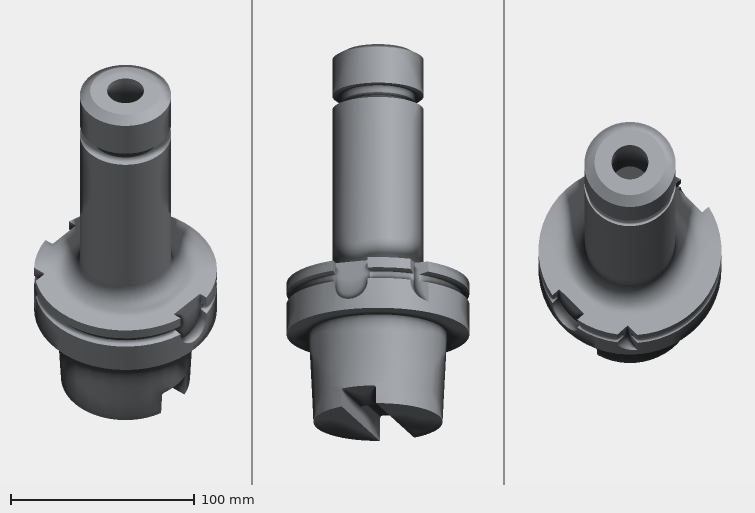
import cadquery as cq

total_height = 210.0
shank_height = 50.0
flange_top = 79.0
body_top = 178.0
nut_bottom = 186.3

shank_top_radius = 37.8
shank_bottom_radius = 35.3

flange_radius = 50.0
groove_floor_radius = 46.0
groove_middle = 70.1
groove_mouth_width = 6.0
groove_floor_width = 3.8

body_radius = 25.0
body_fillet = 10.0
neck_radius = 19.0
collar_radius = 20.2
collar_bottom = 182.3
collar_chamfer = collar_radius - neck_radius
nut_top_radius = 19.3
nut_chamfer_height = 3.4
bore_radius = 10.0
bore_depth = total_height - body_top

slot_bottom = 55.9
slot_floor_distance = 43.9
left_slot_width = 19.7
right_slot_width = 22.0
corner_notch_offset = 31.3

drive_slot_width = 19.7
left_drive_slot_height = 10.0
right_drive_slot_height = 14.7
drive_slot_fillet = 1.3


def revolved_body():
    """Shank, flange, body, neck and nut as one turned solid."""
    profile = (
        cq.Workplane("XZ")
        .lineTo(shank_bottom_radius, 0)
        .lineTo(shank_top_radius, shank_height)
        .lineTo(flange_radius, shank_height)
        .lineTo(flange_radius, groove_middle - groove_mouth_width / 2)
        .lineTo(groove_floor_radius, groove_middle - groove_floor_width / 2)
        .lineTo(groove_floor_radius, groove_middle + groove_floor_width / 2)
        .lineTo(flange_radius, groove_middle + groove_mouth_width / 2)
        .lineTo(flange_radius, flange_top)
        .lineTo(body_radius + body_fillet, flange_top)
        .radiusArc((body_radius, flange_top + body_fillet), body_fillet)
        .lineTo(body_radius, body_top)
        .lineTo(neck_radius, body_top)
        .lineTo(neck_radius, collar_bottom - collar_chamfer)
        .lineTo(collar_radius, collar_bottom)
        .lineTo(collar_radius, nut_bottom)
        .lineTo(body_radius, nut_bottom)
        .lineTo(body_radius, total_height - nut_chamfer_height)
        .lineTo(nut_top_radius, total_height)
        .lineTo(0, total_height)
        .close()
    )
    return profile.revolve(360, (0, 0, 0), (0, 1, 0))


def flange_slot(side, floor_distance, width, center_y):
    """Cutter along X with a round lower end, from the slot floor out past the rim.

    side is -1 for the -X rim and +1 for the +X rim.
    """
    radius = width / 2
    straight_bottom = slot_bottom + radius
    return (
        cq.Workplane("YZ", origin=(side * floor_distance, center_y, 0))
        .moveTo(-radius, flange_top)
        .lineTo(-radius, straight_bottom)
        .threePointArc((0, slot_bottom), (radius, straight_bottom))
        .lineTo(radius, flange_top)
        .close()
        .extrude(side * flange_radius)
    )


def drive_slot(side, height):
    """Cutter from the axis out through one side of the shank bottom."""
    return (
        cq.Workplane("XY")
        .box(flange_radius, drive_slot_width, height, centered=(False, True, False))
        .edges("|X and >Z")
        .fillet(drive_slot_fillet)
        .rotate((0, 0, 0), (0, 0, 1), 0 if side > 0 else 180)
    )


bore = (
    cq.Workplane("XY", origin=(0, 0, total_height))
    .circle(bore_radius)
    .extrude(-bore_depth)
)

corner_notch_center_y = -corner_notch_offset - left_slot_width / 2

result = (
    revolved_body()
    .cut(bore)
    .cut(flange_slot(-1, slot_floor_distance, left_slot_width, 0))
    .cut(flange_slot(1, slot_floor_distance, right_slot_width, 0))
    .cut(flange_slot(-1, corner_notch_offset, left_slot_width, corner_notch_center_y))
    .cut(drive_slot(-1, left_drive_slot_height))
    .cut(drive_slot(1, right_drive_slot_height))
)